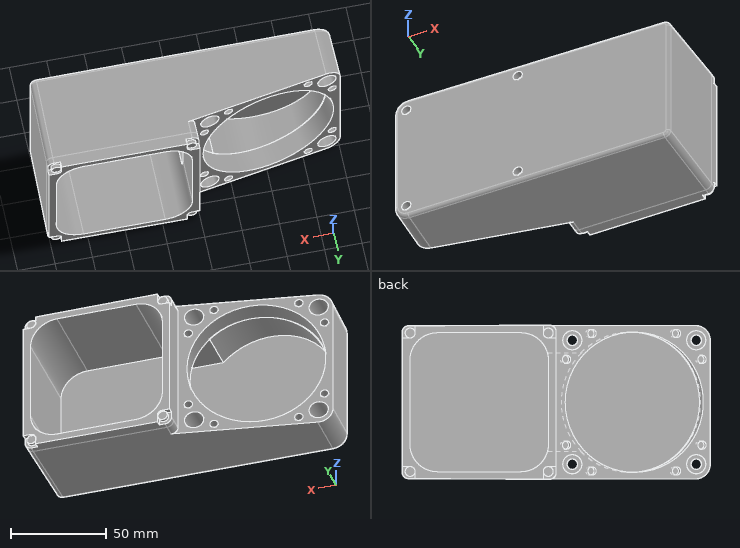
import cadquery as cq
import math

LENGTH = 161.5
DEPTH = 55.2
WIDTH = 80.9
OVERSIZE = 3 * LENGTH

RIM_HEIGHT = 6.5
RIM_BASE_Y = DEPTH - RIM_HEIGHT
STEP_X = 80.8
NOSE_HEIGHT = 27.1
SLOPE_ANGLE = 10.0
END_DRAFT = 1.1
SIDE_DRAFT = 1.5

NOSE_CORNER_RADIUS = 7.9
BACK_CORNER_RADIUS = 3.4
STEP_CORNER_RADIUS = 3.5
BASE_EDGE_RADIUS = 2.0

SCREW_SPACING = 65.0
SCREW_DIAMETER = 5.3
ACCESS_DIAMETER = 10.0
SCREW_SEAT_Y = 4.8
FAN_CENTER_X = 39.9

FAN_BORE_DIAMETER = 73.5
FAN_PLATE_THICKNESS = 11.6
FAN_HOLE_DIAMETER = 4.4
FAN_HOLE_DEPTH = 6.5
FAN_HOLE_NEAR = 22.5
FAN_HOLE_FAR = 36.0

WALL = 4.0
CHAMBER_CORNER_RADIUS = 14.5
DUCT_WIDTH = 51.7

NOTCH_SIZE = 6.8
NOTCH_DEPTH = 3.0
PIN_RADIUS = 2.6
PIN_HEIGHT = 2.1

slope = math.tan(math.radians(SLOPE_ANGLE))
end_slope = math.tan(math.radians(END_DRAFT))
upper_center_x = (STEP_X + LENGTH) / 2


def slope_y(x):
    """Height of the sloping face above the base at position x."""
    return NOSE_HEIGHT + x * slope


def base_plane(y):
    """Plane parallel to the base at height y; local axes are X and -Z, normal +Y."""
    return cq.Plane(origin=(0, y, 0), xDir=(1, 0, 0), normal=(0, 1, 0))


angle = math.radians(SLOPE_ANGLE)
fan_plane = cq.Plane(
    origin=(FAN_CENTER_X, slope_y(FAN_CENTER_X), 0),
    xDir=(math.cos(angle), math.sin(angle), 0),
    normal=(-math.sin(angle), math.cos(angle), 0),
)


def make_profile():
    """Drafted side profile below the rim, extruded over the full width."""
    return (
        cq.Workplane("XY", origin=(0, 0, -WIDTH / 2))
        .moveTo(NOSE_HEIGHT * end_slope, 0)
        .lineTo(0, NOSE_HEIGHT)
        .lineTo(STEP_X, slope_y(STEP_X))
        .lineTo(STEP_X, RIM_BASE_Y)
        .lineTo(LENGTH, RIM_BASE_Y)
        .lineTo(LENGTH - RIM_BASE_Y * end_slope, 0)
        .close()
        .extrude(WIDTH)
    )


def make_side_envelope():
    """Oversized block whose Z sides narrow away from the sloping face."""
    top_offset = (RIM_BASE_Y - slope_y(STEP_X)) * math.cos(angle)
    return (
        cq.Workplane(fan_plane)
        .workplane(offset=top_offset)
        .rect(OVERSIZE, WIDTH)
        .extrude(-2 * DEPTH, taper=SIDE_DRAFT)
    )


def round_corner(solid, x, y, radius):
    """Round the two corner edges whose midpoints lie near (x, y), one on each Z side."""
    near = 1.6
    for side in (-1, 1):
        z = side * WIDTH / 2
        box = cq.selectors.BoxSelector(
            (x - near, y - near, z - near), (x + near, y + near, z + near)
        )
        solid = solid.edges(box).fillet(radius)
    return solid


def make_outer():
    """Drafted and rounded housing, continued straight up from its top face by the rim."""
    body = make_profile().intersect(make_side_envelope())
    body = round_corner(body, 0, NOSE_HEIGHT / 2, NOSE_CORNER_RADIUS)
    body = round_corner(body, LENGTH, RIM_BASE_Y / 2, BACK_CORNER_RADIUS)
    body = round_corner(body, STEP_X, (slope_y(STEP_X) + RIM_BASE_Y) / 2, STEP_CORNER_RADIUS)
    body = body.faces("<Y").edges().fillet(BASE_EDGE_RADIUS)
    rim_outline = body.faces(">Y").wires().val()
    rim = cq.Workplane(base_plane(RIM_BASE_Y)).add(rim_outline).toPending().extrude(RIM_HEIGHT)
    return body.union(rim)


def make_air_chamber():
    """Round space under the fan, joined by a duct to a chamber that opens through the rim."""
    chamber_length = LENGTH - STEP_X - 2 * WALL
    chamber_width = WIDTH - 2 * WALL
    chamber = (
        cq.Workplane(base_plane(WALL))
        .center(upper_center_x, 0)
        .rect(chamber_length, chamber_width)
        .extrude(DEPTH)
        .edges("|Y")
        .fillet(CHAMBER_CORNER_RADIUS)
    )
    duct_length = upper_center_x - FAN_CENTER_X
    duct = (
        cq.Workplane(base_plane(WALL))
        .center(FAN_CENTER_X + duct_length / 2, 0)
        .rect(duct_length, DUCT_WIDTH)
        .extrude(DEPTH)
    )
    plenum_x = FAN_CENTER_X + FAN_PLATE_THICKNESS * math.sin(angle)
    plenum = (
        cq.Workplane(base_plane(WALL))
        .center(plenum_x, 0)
        .circle(FAN_BORE_DIAMETER / 2)
        .extrude(DEPTH)
    )
    below_plate = (
        cq.Workplane(fan_plane)
        .workplane(offset=-FAN_PLATE_THICKNESS)
        .rect(OVERSIZE, WIDTH)
        .extrude(-DEPTH)
    )
    return duct.union(plenum).intersect(below_plate).union(chamber)


def make_fan_opening():
    """Large bore through the fan plate, square to the slope."""
    return cq.Workplane(fan_plane).circle(FAN_BORE_DIAMETER / 2).extrude(-FAN_PLATE_THICKNESS)


def make_fan_holes():
    """Eight blind holes around the fan opening."""
    points = []
    for along, across in ((FAN_HOLE_NEAR, FAN_HOLE_FAR), (FAN_HOLE_FAR, FAN_HOLE_NEAR)):
        for x_side in (-1, 1):
            for z_side in (-1, 1):
                points.append((x_side * along, z_side * across))
    return (
        cq.Workplane(fan_plane)
        .pushPoints(points)
        .circle(FAN_HOLE_DIAMETER / 2)
        .extrude(-FAN_HOLE_DEPTH)
    )


def make_base_screws():
    """Screw holes through the base with access bores down from the slope."""

    def column(y, diameter):
        return (
            cq.Workplane(base_plane(y))
            .center(FAN_CENTER_X, 0)
            .rect(SCREW_SPACING, SCREW_SPACING, forConstruction=True)
            .vertices()
            .circle(diameter / 2)
            .extrude(DEPTH)
        )

    return column(0, SCREW_DIAMETER).union(column(SCREW_SEAT_Y, ACCESS_DIAMETER))


def make_notch(x_side, z_side):
    """Rim corner notch with a rounded inner corner around an upright pin."""
    corner_x = upper_center_x + x_side * (LENGTH - STEP_X) / 2
    corner_z = z_side * WIDTH / 2
    pin_offset = NOTCH_SIZE - PIN_RADIUS
    pin_x = corner_x - x_side * pin_offset
    pin_z = corner_z - z_side * pin_offset
    floor_y = DEPTH - NOTCH_DEPTH
    notch = (
        cq.Workplane(base_plane(floor_y))
        .center(corner_x, -corner_z)
        .rect(2 * NOTCH_SIZE, 2 * NOTCH_SIZE)
        .extrude(NOTCH_DEPTH)
        .edges("|Y")
        .fillet(PIN_RADIUS)
    )
    pin = (
        cq.Workplane(base_plane(floor_y))
        .center(pin_x, -pin_z)
        .circle(PIN_RADIUS)
        .extrude(PIN_HEIGHT)
    )
    return notch.cut(pin)


result = make_outer()
result = result.cut(make_air_chamber())
result = result.cut(make_fan_opening())
result = result.cut(make_fan_holes())
result = result.cut(make_base_screws())
for x_side in (-1, 1):
    for z_side in (-1, 1):
        result = result.cut(make_notch(x_side, z_side))